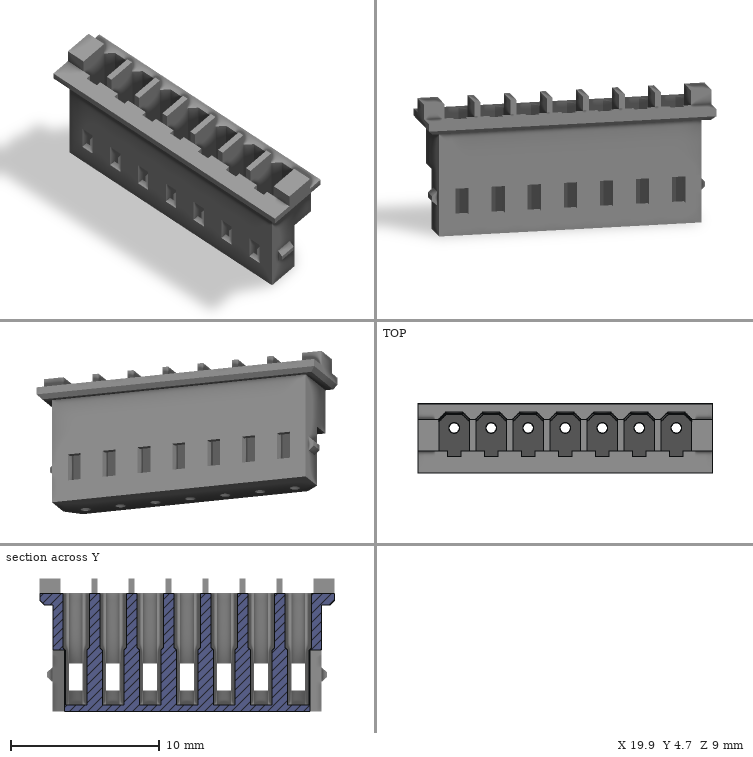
import cadquery as cq


length = 19.9
depth = 4.7
height = 9.0
flange_top = 8.0
flange_bottom = 7.2
flange_chamfer = 0.3

body_length = 18.19
body_front = 0.7
step_height = 4.15
lower_back = 4.02
lower_corner_chamfer = 1.01

block_front = 1.5
block_back = 3.6

pole_count = 7
row_length = 15.0
pitch = row_length / (pole_count - 1)
pole_positions = [i * pitch - row_length / 2 for i in range(pole_count)]
chamber_width = 2.09
chamber_floor = 0.5
upper_chamber_back = 4.14
lower_chamber_back = 3.96
slope_bottom = step_height
chamber_corner_chamfer = 0.5
groove_front = 1.13
groove_width = 0.92
pin_hole_diameter = 0.7
pin_hole_y = 3.05

window_width = groove_width
window_bottom = 1.43
window_top = 3.26

nub_front = 1.31
nub_back = 2.5
nub_bottom = 2.0
nub_top = 2.98
nub_reach = 0.35
nub_bevel = 0.32


def box(x_min, x_max, y_min, y_max, z_min, z_max):
    """Box given by its limits along each axis."""
    size = (x_max - x_min, y_max - y_min, z_max - z_min)
    return cq.Workplane("XY").box(*size, centered=False).translate((x_min, y_min, z_min))


def make_flange():
    """Plate with its lower edge bevelled along the front and both ends."""
    plate = box(-length / 2, length / 2, 0, depth, flange_bottom, flange_top)
    return plate.faces("<Z").edges("<X or >X or <Y").chamfer(flange_chamfer)


def make_body():
    """Full-depth upper body over a shallower lower body with cut back corners."""
    half = body_length / 2
    upper = box(-half, half, body_front, depth, step_height, flange_bottom)
    lower = box(-half, half, body_front, lower_back, 0, step_height)
    lower = lower.edges("|Z and >Y").chamfer(lower_corner_chamfer)
    return upper.union(lower)


def make_top_rail():
    """Raised bar that the chambers divide into end blocks and partitions."""
    return box(-length / 2, length / 2, block_front, block_back, flange_top, height)


def chamber_section(level, back):
    """Chamber outline at one level, with both back corners cut off."""
    half = chamber_width / 2
    shoulder = back - chamber_corner_chamfer
    outline = [
        (-half, block_front),
        (half, block_front),
        (half, shoulder),
        (half - chamber_corner_chamfer, back),
        (chamber_corner_chamfer - half, back),
        (-half, shoulder),
    ]
    return cq.Workplane("XY").workplane(offset=level).polyline(outline).close()


def make_chamber():
    """Narrow lower chamber, a 45 degree back slope, and the wider upper chamber."""
    slope_top = slope_bottom + upper_chamber_back - lower_chamber_back
    lower = chamber_section(chamber_floor, lower_chamber_back).extrude(slope_bottom - chamber_floor)
    slope_ends = [
        chamber_section(slope_bottom, lower_chamber_back).val(),
        chamber_section(slope_top, upper_chamber_back).val(),
    ]
    slope = cq.Workplane(cq.Solid.makeLoft(slope_ends, True))
    upper = chamber_section(slope_top, upper_chamber_back).extrude(flange_top - slope_top)
    return lower.union(slope).union(upper)


def make_pole_cut():
    """Chamber, front groove, window and pin hole of the pole at X = 0."""
    chamber = make_chamber()
    half_chamber = chamber_width / 2
    half_groove = groove_width / 2
    half_window = window_width / 2
    rail_gap = box(-half_chamber, half_chamber, block_front, block_back, flange_top, height)
    groove = box(-half_groove, half_groove, groove_front, block_front, chamber_floor, flange_top)
    window = box(-half_window, half_window, body_front, block_front, window_bottom, window_top)
    pin_hole = cq.Workplane("XY").center(0, pin_hole_y)
    pin_hole = pin_hole.circle(pin_hole_diameter / 2).extrude(chamber_floor)
    return chamber.union(rail_gap).union(groove).union(window).union(pin_hole)


def make_nub():
    """Bevelled latch nub on the -X end of the body."""
    root = -body_length / 2
    tip = root - nub_reach
    profile = [
        (root, nub_bottom),
        (tip, nub_bottom + nub_bevel),
        (tip, nub_top - nub_bevel),
        (root, nub_top),
    ]
    nub = cq.Workplane("XZ").polyline(profile).close().extrude(nub_front - nub_back)
    return nub.translate((0, nub_front, 0))


nub = make_nub()
result = make_body().union(make_flange()).union(make_top_rail())
result = result.union(nub).union(nub.mirror("YZ"))

pole_cut = make_pole_cut()
for x in pole_positions:
    result = result.cut(pole_cut.translate((x, 0, 0)))